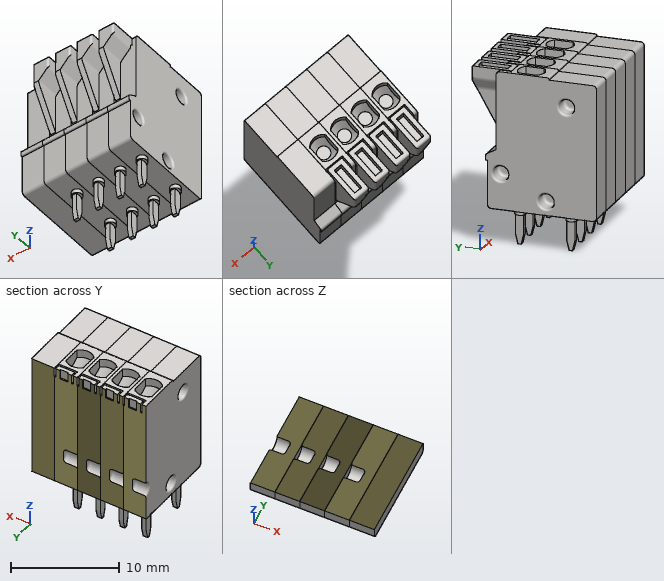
import cadquery as cq
import math


overall_width = 12.66
module_count = 4
module_width = overall_width / (module_count + 1)

overall_height = 17
pin_length = 3.4
housing_height = overall_height - pin_length
shelf_drop = 0.2
shelf_round_radius = 0.19
shelf_depth = 4.7
upper_back = 9.96
lower_back = 10.8
catch_back = 11.0
catch_bottom = 4.71
catch_shoulder = 5.29
catch_top = 5.86
corner_radius = 0.39
catch_tip_radius = 0.34
catch_heel_radius = 0.1

socket_centres = [(3.0, 10.88), (9.5, 3.52), (5.02, 1.33)]
socket_radius = 0.76
socket_depth = 1.5
socket_lip_radius = 0.2
socket_floor_radius = 0.29

entry_y = 6.9
entry_radius = 1.31
entry_width = 1.9
entry_straight_depth = 0.9
entry_cone_depth = 0.8
entry_floor_radius = 0.66

lever_left = 0.61
lever_width = 1.78
lever_right = lever_left + lever_width
lever_front = 8.67
lever_back = 12.6
lever_edge_radius = 0.2
lever_tail_z = 6.6
lever_heel_z = 11.15

stem_width = 0.6
undercut_top = 12.32
undercut_bottom = 11.1
undercut_radius = 0.5

slot_left = 1.09
slot_width = 0.83
slot_front = 9.18
slot_back = 12.05
slot_depth = 1.0

recess_left = 0.46
recess_front = 8.6
recess_depth = 1.0

pin_x = 0.9
pin_rows = [2.8, 7.87]
pin_width = 0.82
pin_thickness = 0.5
pin_tip_width = 0.32
pin_taper_length = 1.0
collar_radius = 0.55
collar_height = 0.46


def box(x_range, y_range, z_range):
    """Axis-aligned box between the given limits."""
    (x0, x1), (y0, y1), (z0, z1) = x_range, y_range, z_range
    return cq.Workplane("XY").box(x1 - x0, y1 - y0, z1 - z0, centered=False).translate((x0, y0, z0))


def edge_near(x, y, z):
    """Selector for the edge whose middle is nearest to a point."""
    return cq.selectors.NearestToPointSelector((x, y, z))


def make_housing():
    """Plain housing slice with the side outline shared by the modules and the end plate."""
    shelf_z = housing_height - shelf_drop
    outline = [
        (0, 0),
        (lower_back, 0),
        (lower_back, catch_bottom),
        (catch_back, catch_bottom),
        (catch_back, catch_shoulder),
        (upper_back, catch_top),
        (upper_back, housing_height),
        (shelf_depth, housing_height),
        (shelf_depth, shelf_z),
        (0, shelf_z),
    ]
    housing = cq.Workplane("YZ").polyline(outline).close().extrude(module_width)
    middle = module_width / 2
    round_corners = [(0, 0), (lower_back, 0), (upper_back, housing_height), (0, shelf_z)]
    for y, z in round_corners:
        housing = housing.edges(edge_near(middle, y, z)).fillet(corner_radius)
    housing = housing.edges(edge_near(middle, catch_back, catch_shoulder)).fillet(catch_tip_radius)
    housing = housing.edges(edge_near(middle, catch_back, catch_bottom)).fillet(catch_heel_radius)
    return housing.edges(edge_near(middle, shelf_depth, housing_height)).fillet(shelf_round_radius)


def make_socket(y, z):
    """Cutter for a blind round socket with a rounded lip and a rounded floor edge."""
    lip = socket_lip_radius
    floor = socket_floor_radius
    diagonal = math.sqrt(0.5)
    mouth = socket_radius + lip
    profile = (
        cq.Workplane("XY")
        .moveTo(0, 0)
        .lineTo(0, mouth)
        .threePointArc((lip - lip * diagonal, mouth - lip * diagonal), (lip, socket_radius))
        .lineTo(socket_depth - floor, socket_radius)
        .threePointArc(
            (socket_depth - floor + floor * diagonal, socket_radius - floor + floor * diagonal),
            (socket_depth, socket_radius - floor),
        )
        .lineTo(socket_depth, 0)
        .close()
    )
    return profile.revolve(360, (0, 0, 0), (1, 0, 0)).translate((0, y, z))


def make_wire_entry():
    """Cutter for the wire entry: a flat-sided round well with a funnel at its bottom."""
    funnel_top = housing_height - entry_straight_depth
    funnel_bottom = funnel_top - entry_cone_depth
    profile = [
        (0, funnel_bottom),
        (entry_floor_radius, funnel_bottom),
        (entry_radius, funnel_top),
        (entry_radius, housing_height),
        (0, housing_height),
    ]
    round_well = cq.Workplane("XZ").polyline(profile).close().revolve(360, (0, 0, 0), (0, 1, 0))
    flats = box(
        (-entry_width / 2, entry_width / 2),
        (-entry_radius, entry_radius),
        (funnel_bottom, housing_height),
    )
    return round_well.intersect(flats).translate((module_width / 2, entry_y, 0))


def make_lever_recess():
    """Cutter for the clearance around the lever, open at the housing top and back."""
    return box(
        (recess_left, module_width),
        (recess_front, upper_back),
        (housing_height - recess_depth, housing_height),
    )


def make_undercut():
    """Cutter along Y that narrows the lever below its head to the stem, with rounded bends."""
    stem_left = lever_right - stem_width
    clear_left = lever_left - lever_width
    outline = [
        (clear_left, 0),
        (stem_left, 0),
        (stem_left, undercut_bottom),
        (lever_left, undercut_top),
        (lever_left, housing_height),
        (clear_left, housing_height),
    ]
    middle = lever_back / 2
    cutter = cq.Workplane("XZ").polyline(outline).close().extrude(-lever_back)
    for x, z in [(stem_left, undercut_bottom), (lever_left, undercut_top)]:
        cutter = cutter.edges(edge_near(x, middle, z)).fillet(undercut_radius)
    return cutter


def make_lever():
    """Release lever with a wide slotted head, a narrow stem and a sloping underside."""
    outline = [
        (lever_front, lever_tail_z),
        (upper_back, lever_tail_z),
        (lever_back, lever_heel_z),
        (lever_back, housing_height),
        (lever_front, housing_height),
    ]
    lever = cq.Workplane("YZ").workplane(offset=lever_left).polyline(outline).close().extrude(lever_width)
    rounded_edges = lever.edges("|Z").add(lever.faces(">Z").edges("|X"))
    lever = rounded_edges.fillet(lever_edge_radius)
    slot = box(
        (slot_left, slot_left + slot_width),
        (slot_front, slot_back),
        (housing_height - slot_depth, housing_height),
    )
    return lever.cut(make_undercut()).cut(slot)


def make_pin(y):
    """Solder pin: a round collar under the housing and a flat blade with a tapered tip."""
    taper_z = pin_taper_length - pin_length
    outline = [
        (-pin_width / 2, 0),
        (-pin_width / 2, taper_z),
        (-pin_tip_width / 2, -pin_length),
        (pin_tip_width / 2, -pin_length),
        (pin_width / 2, taper_z),
        (pin_width / 2, 0),
    ]
    blade = cq.Workplane("YZ").polyline(outline).close().extrude(pin_thickness / 2, both=True)
    collar = cq.Workplane("XY").circle(collar_radius).extrude(-collar_height)
    return blade.union(collar).translate((pin_x, y, 0))


def make_wire_module():
    """One wire module: housing slice with sockets, wire entry, release lever and solder pins."""
    module = make_housing().cut(make_wire_entry()).cut(make_lever_recess())
    for y, z in socket_centres:
        module = module.cut(make_socket(y, z))
    module = module.union(make_lever())
    for y in pin_rows:
        module = module.union(make_pin(y))
    return module


wire_module = make_wire_module()
wire_modules = [wire_module.translate((i * module_width, 0, 0)) for i in range(module_count)]

end_plate = make_housing().translate((module_count * module_width, 0, 0))

solids = [module.val() for module in wire_modules] + [end_plate.val()]
result = cq.Compound.makeCompound(solids)